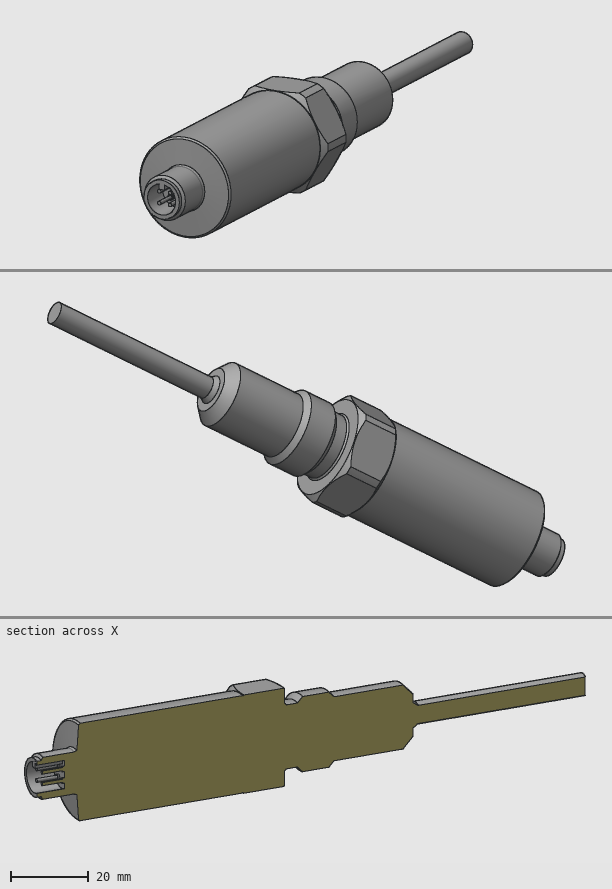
import cadquery as cq
import math

LENGTH = 158.7
PLUG_FACE_Y = -LENGTH / 2
CABLE_FACE_Y = LENGTH / 2

CABLE_DIA = 6.0
CABLE_LENGTH = 48.4
COLLAR_DIA = 7.8
COLLAR_LENGTH = 1.5

SLEEVE_DIA = 18.0
SLEEVE_NOSE_DIA = 12.0
SLEEVE_FLARE = 0.5
RING_DIA = 21.0
RING_START = 72.7
RING_END = 83.3

HEX_START = 87.0
HEX_END = 99.0
HEX_ACROSS_FLATS = 27.0
HEX_CORNER_DIA = 30.0
HEX_FACE_DIA = 26.7
HEX_BEVEL_LENGTH = 1.3

BODY_DIA = 27.0
BODY_END = 147.1
BODY_CHAMFER = 0.5
BODY_CROWN = 0.5

PLUG_DIA = 12.0
PLUG_ROOT_DIA = 12.5
PLUG_ROOT_LENGTH = 0.8
PLUG_SHOULDER = 157.0
PLUG_SHOULDER_LENGTH = 0.5
TIP_DIA = 10.5
SOCKET_DIA = 8.3
SOCKET_DEPTH = 8.0
KEY_WIDTH = 1.6
KEY_HEIGHT = 1.5
KEY_EMBED = 0.5

PIN_DIA = 1.0
PIN_COLLAR_DIA = 1.6
PIN_COLLAR_LENGTH = 0.5
PIN_OFFSET = 1.6
PIN_LENGTH = 6.3


def from_cable_end(distance):
    """Y position at a distance from the free end of the cable."""
    return CABLE_FACE_Y - distance


def turned(stations):
    """Solid of revolution about Y from (diameter, distance from the cable end) pairs."""
    first = from_cable_end(stations[0][1])
    last = from_cable_end(stations[-1][1])
    outline = [(diameter / 2, from_cable_end(distance)) for diameter, distance in stations]
    points = [(0, first)] + outline + [(0, last)]
    return cq.Workplane("XY").polyline(points).close().revolve(360, (0, 0, 0), (0, 1, 0))


def rod(diameter, start_y, length):
    """Round bar on the Y axis, growing toward +Y from start_y."""
    return cq.Workplane("XZ", origin=(0, start_y, 0)).circle(diameter / 2).extrude(-length)


def make_cable_and_sleeve():
    nose = CABLE_LENGTH + COLLAR_LENGTH
    nose_chamfer = (SLEEVE_DIA - SLEEVE_NOSE_DIA) / 2
    ring_chamfer = (RING_DIA - SLEEVE_DIA) / 2
    return turned([
        (CABLE_DIA, 0),
        (CABLE_DIA, CABLE_LENGTH),
        (COLLAR_DIA, nose),
        (SLEEVE_NOSE_DIA, nose),
        (SLEEVE_DIA, nose + nose_chamfer),
        (SLEEVE_DIA, RING_START),
        (RING_DIA, RING_START + ring_chamfer),
        (RING_DIA, RING_END - ring_chamfer),
        (SLEEVE_DIA, RING_END),
        (SLEEVE_DIA, HEX_START - SLEEVE_FLARE),
        (SLEEVE_DIA + 2 * SLEEVE_FLARE, HEX_START),
    ])


def make_hexagon():
    """Hexagon with corners on the X axis, its corners rounded and bevelled at both ends."""
    corner_to_corner = HEX_ACROSS_FLATS / math.cos(math.radians(30))
    prism = (
        cq.Workplane("XZ", origin=(0, from_cable_end(HEX_END), 0))
        .polygon(6, corner_to_corner)
        .extrude(HEX_START - HEX_END)
    )
    envelope = turned([
        (HEX_FACE_DIA, HEX_START),
        (HEX_CORNER_DIA, HEX_START + HEX_BEVEL_LENGTH),
        (HEX_CORNER_DIA, HEX_END - HEX_BEVEL_LENGTH),
        (HEX_FACE_DIA, HEX_END),
    ])
    return prism.intersect(envelope)


def make_body():
    """Plain housing with a chamfered rim and an end face that rises gently to the plug."""
    rim = BODY_END - BODY_CROWN
    return turned([
        (BODY_DIA, HEX_END),
        (BODY_DIA, rim - BODY_CHAMFER),
        (BODY_DIA - 2 * BODY_CHAMFER, rim),
        (PLUG_ROOT_DIA, BODY_END),
    ])


def make_plug():
    """Stepped plug with a keyed socket holding four contact pins."""
    plug = turned([
        (PLUG_ROOT_DIA, BODY_END),
        (PLUG_DIA, BODY_END + PLUG_ROOT_LENGTH),
        (PLUG_DIA, PLUG_SHOULDER),
        (TIP_DIA, PLUG_SHOULDER + PLUG_SHOULDER_LENGTH),
        (TIP_DIA, LENGTH),
    ])
    plug = plug.cut(rod(SOCKET_DIA, PLUG_FACE_Y, SOCKET_DEPTH))

    socket_floor = PLUG_FACE_Y + SOCKET_DEPTH
    key = (
        cq.Workplane("XY", origin=(0, PLUG_FACE_Y, SOCKET_DIA / 2 - KEY_HEIGHT))
        .box(KEY_WIDTH, SOCKET_DEPTH, KEY_HEIGHT + KEY_EMBED, centered=(True, False, False))
    )
    plug = plug.union(key)

    pin = rod(PIN_DIA, socket_floor - PIN_LENGTH, PIN_LENGTH)
    collar = rod(PIN_COLLAR_DIA, socket_floor - PIN_COLLAR_LENGTH, PIN_COLLAR_LENGTH)
    contact = pin.union(collar)
    for x in (-PIN_OFFSET, PIN_OFFSET):
        for z in (-PIN_OFFSET, PIN_OFFSET):
            plug = plug.union(contact.translate((x, 0, z)))
    return plug


result = make_cable_and_sleeve().union(make_hexagon()).union(make_body()).union(make_plug())